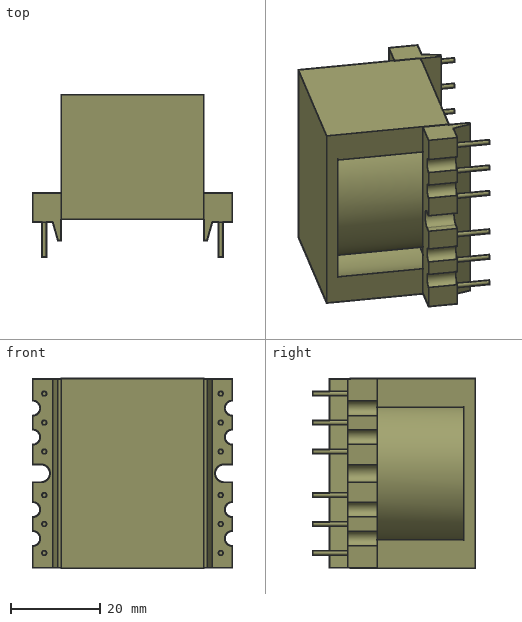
import cadquery as cq

core_width = 32.0
core_height = 42.6
core_depth = 28.0
plate_thickness = 2.6
window_height = 29.75
leg_center_thickness = 1.0

winding_diameter = 31.8

overall_width = 44.8
block_height = 42.35
block_back = 22.05
block_front = 28.6
lip_front = 32.75
lip_root = 1.93
lip_tip = 0.75

notch_radius = 1.65
slot_radius = 1.95
slot_depth = 3.85

pin_diameter = 1.05
pin_front = 36.45
pin_inset = 2.6
pin_pitch = 6.5
first_pin_height = 4.9
pins_per_half = 3

half_width = overall_width / 2
core_side = core_width / 2
pin_heights = [first_pin_height + i * pin_pitch for i in range(pins_per_half)]
notch_heights = [height + pin_pitch / 2 for height in pin_heights[:-1]]


def along_y(back, front):
    """Return a workplane at the back depth, and the length to the front depth.

    Depth is counted toward -Y; the workplane's local axes are X and Z.
    """
    return cq.Workplane("XZ", origin=(0, -back, 0)), front - back


def make_core():
    body, depth = along_y(0, core_depth)
    body = body.rect(core_width, core_height).extrude(depth)
    window, depth = along_y(plate_thickness, core_depth - plate_thickness)
    corner = window_height / 2
    crown = core_height / 2 - leg_center_thickness
    window = (
        window.moveTo(-core_side, -corner)
        .threePointArc((0, -crown), (core_side, -corner))
        .lineTo(core_side, corner)
        .threePointArc((0, crown), (-core_side, corner))
        .close()
        .extrude(depth)
    )
    return body.cut(window)


def make_winding():
    plane, depth = along_y(plate_thickness, core_depth - plate_thickness)
    return plane.circle(winding_diameter / 2).extrude(depth)


def make_block():
    """Right-hand terminal block, with its tapered lip, notches and pins."""
    block = (
        cq.Workplane("XY", origin=(0, 0, -block_height / 2))
        .polyline([
            (core_side, -block_back),
            (half_width, -block_back),
            (half_width, -block_front),
            (core_side + lip_root, -block_front),
            (core_side + lip_tip, -lip_front),
            (core_side, -lip_front),
        ])
        .close()
        .extrude(block_height)
    )
    both_sides = (-1, 1)
    notches, depth = along_y(block_back, block_front)
    notches = (
        notches.pushPoints([(half_width, s * z) for s in both_sides for z in notch_heights])
        .circle(notch_radius)
        .extrude(depth)
    )
    slot, depth = along_y(block_back, block_front)
    slot = slot.center(half_width, 0).slot2D(2 * slot_depth, 2 * slot_radius).extrude(depth)
    pins, depth = along_y(block_back + pin_diameter, pin_front)
    pins = (
        pins.pushPoints([(half_width - pin_inset, s * z) for s in both_sides for z in pin_heights])
        .circle(pin_diameter / 2)
        .extrude(depth)
    )
    return block.cut(notches).cut(slot).union(pins)


right_block = make_block()
left_block = right_block.mirror("YZ")
result = make_core().union(make_winding()).union(right_block).union(left_block)